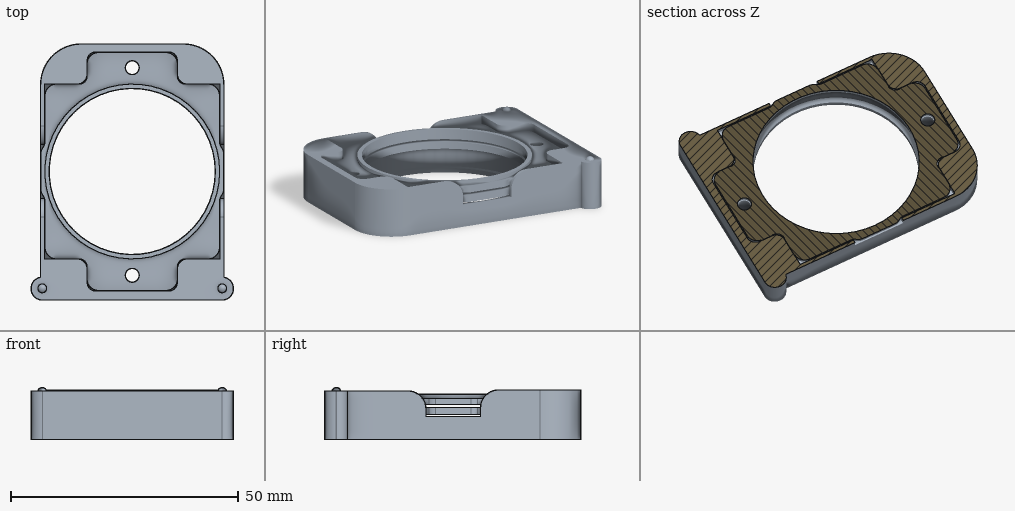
import cadquery as cq
import math

body_width = 40.4
front_y = -28.35
back_y = 28.1
back_corner_radius = 9.0
front_height = 10.7
back_height = 10.95

front_width = 44.6
post_radius = 2.5
post_x = front_width / 2 - post_radius
front_edge_depth = 2.6
post_y = front_y + front_edge_depth
dome_radius = 1.0
dome_top = 11.45

pocket_floor = 5.1
pocket_half_width = 19.35
shoulder_y = 19.25
tongue_half_width = 9.95
pocket_end_y = 26.35
pocket_tongue_fillet = 2.0
pocket_inner_fillet = 2.25

bore_diameter = 36.5
floor_bore_diameter = 39.0
floor_lip_height = 1.0
screw_hole_diameter = 3.0
screw_hole_y = 22.85

notch_half_length = 6.0
notch_round = 4.0

plate_clearance = 0.15
plate_half_width = pocket_half_width - plate_clearance
plate_end_y = pocket_end_y - plate_clearance
plate_corner_fillet = 2.5
plate_tongue_fillet = 2.5
plate_inner_fillet = 1.75
lower_plate_bottom = 5.5
lower_plate_top = 7.05
upper_plate_bottom = 7.7
upper_plate_top = 9.05
collar_diameter = 38.5
collar_top = 10.0

tab_reach = 20.1
tab_tip_half_length = 3.95
tab_flank_length = 2.75


def block(x_min, x_max, y_min, y_max, z_min, z_max):
    """Box between two opposite corners."""
    size = (x_max - x_min, y_max - y_min, z_max - z_min)
    return cq.Workplane("XY").box(*size, centered=False).translate((x_min, y_min, z_min))


def disc(diameter, z_min, z_max, x=0, y=0):
    """Upright cylinder between two heights."""
    return cq.Workplane("XY", origin=(x, y, z_min)).circle(diameter / 2).extrude(z_max - z_min)


def cross(half_width, end_y, tongue_fillet, inner_fillet, z_min, z_max):
    """Cross-shaped prism: a wide middle with a narrower, rounded tongue at each end."""
    middle = block(-half_width, half_width, -shoulder_y, shoulder_y, z_min, z_max)
    tongue = block(-tongue_half_width, tongue_half_width, -end_y, end_y, z_min, z_max)
    tongue = tongue.edges("|Z").fillet(tongue_fillet)
    margin = 0.55
    inner_corners = cq.selectors.BoxSelector(
        (-tongue_half_width - margin, -shoulder_y - margin, z_min),
        (tongue_half_width + margin, shoulder_y + margin, z_max),
    )
    return middle.union(tongue).edges("|Z").edges(inner_corners).fillet(inner_fillet)


def screw_holes(z_min, z_max):
    """Cutter for the front and back screw holes."""
    front_hole = disc(screw_hole_diameter, z_min, z_max, y=-screw_hole_y)
    back_hole = disc(screw_hole_diameter, z_min, z_max, y=screw_hole_y)
    return front_hole.union(back_hole)


def notch_cutter():
    """Slot across both side walls, with mouth edges that flare out in quarter rounds."""
    front_round_z = front_height - notch_round
    back_round_z = back_height - notch_round
    flare_half_length = notch_half_length + notch_round
    bend = notch_round * math.sqrt(0.5)
    profile = (
        cq.Workplane("YZ", origin=(-body_width / 2, 0, 0))
        .moveTo(-notch_half_length, pocket_floor)
        .lineTo(-notch_half_length, front_round_z)
        .threePointArc(
            (-flare_half_length + bend, front_round_z + bend), (-flare_half_length, front_height)
        )
        .lineTo(-flare_half_length, dome_top)
        .lineTo(flare_half_length, dome_top)
        .lineTo(flare_half_length, back_height)
        .threePointArc(
            (flare_half_length - bend, back_round_z + bend), (notch_half_length, back_round_z)
        )
        .lineTo(notch_half_length, pocket_floor)
        .close()
    )
    return profile.extrude(body_width)


def make_housing():
    """Two-level tray with front posts, pocket, side notches, stepped bore and screw holes."""
    half_width = body_width / 2
    front = block(-half_width, half_width, post_y, 0, 0, front_height)
    back = block(-half_width, half_width, 0, back_y, 0, back_height)
    back = back.edges("|Z and >Y").fillet(back_corner_radius)
    front_edge = block(-front_width / 2, front_width / 2, front_y, post_y, 0, front_height)
    front_edge = front_edge.edges("|Z and <Y").fillet(post_radius)
    housing = front_edge.union(front).union(back)
    for x in (-post_x, post_x):
        dome = cq.Workplane("XY").sphere(dome_radius).translate((x, post_y, dome_top - dome_radius))
        post = disc(2 * post_radius, 0, front_height, x, post_y)
        housing = housing.union(post).union(dome)
    pocket = cross(
        pocket_half_width, pocket_end_y, pocket_tongue_fillet, pocket_inner_fillet, pocket_floor, dome_top
    )
    housing = housing.cut(pocket)
    housing = housing.cut(notch_cutter())
    housing = housing.cut(disc(bore_diameter, 0, pocket_floor))
    housing = housing.cut(disc(floor_bore_diameter, floor_lip_height, pocket_floor))
    return housing.cut(screw_holes(0, pocket_floor))


def plate_tabs(z_min, z_max):
    """Bar across the plate whose two ends are the tabs; each flank is two equal tangent arcs."""
    depth = tab_reach - plate_half_width
    root = tab_tip_half_length + tab_flank_length
    flank_radius = (depth**2 + tab_flank_length**2) / (4 * depth)
    half_angle = math.atan2(depth, tab_flank_length)
    mid_y = flank_radius * math.sin(half_angle)
    mid_x = flank_radius * (1 - math.cos(half_angle))
    inflection = (tab_reach - depth / 2, root - tab_flank_length / 2)
    profile = (
        cq.Workplane("XY", origin=(0, 0, z_min))
        .moveTo(0, root)
        .lineTo(plate_half_width, root)
        .threePointArc((plate_half_width + mid_x, root - mid_y), inflection)
        .threePointArc((tab_reach - mid_x, tab_tip_half_length + mid_y), (tab_reach, tab_tip_half_length))
        .lineTo(tab_reach, 0)
        .mirrorX()
        .mirrorY()
    )
    return profile.extrude(z_max - z_min)


def make_plate(z_min, z_max, collar_z):
    """Cross-shaped plate with tabs and a bore; a collar rises round the bore up to collar_z."""
    plate = cross(
        plate_half_width, plate_end_y, plate_tongue_fillet, plate_inner_fillet, z_min, z_max
    )
    plate = plate.edges("|Z").edges("<X or >X").fillet(plate_corner_fillet)
    plate = plate.union(plate_tabs(z_min, z_max))
    plate = plate.union(disc(collar_diameter, z_min, collar_z))
    plate = plate.cut(disc(bore_diameter, z_min, collar_z))
    return plate.cut(screw_holes(z_min, z_max))


housing = make_housing()
lower_plate = make_plate(lower_plate_bottom, lower_plate_top, lower_plate_top)
upper_plate = make_plate(upper_plate_bottom, upper_plate_top, collar_top)

result = cq.Compound.makeCompound([housing.val(), lower_plate.val(), upper_plate.val()])